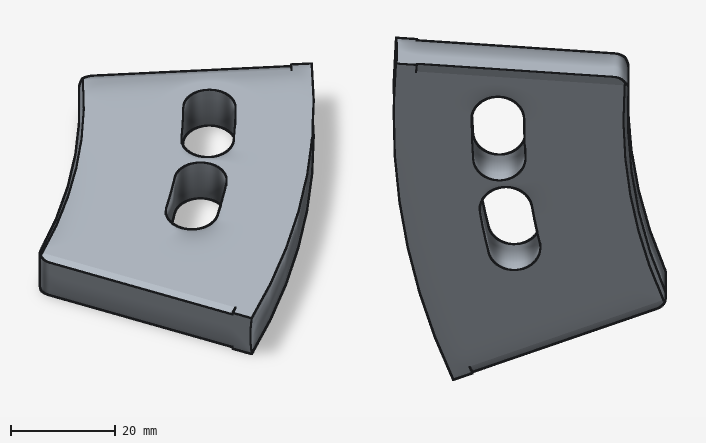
import cadquery as cq
import math

outer_radius = 157.8
radial_width = 45.0
inner_radius = outer_radius - radial_width
end_to_end_height = 70.3
sector_angle = math.degrees(math.asin(end_to_end_height / outer_radius))
thickness = 9.5
corner_radius = 3.0

rim_hollow_depth = 0.3

slot_path_radius = 137.75
slot_width = 10.05
slot_span = 3.65
slot_middle_angles = (11.55, 20.05)

end_bevel_width = 1.55
end_bevel_height = 0.4
end_bevel_stop = 4.0
inner_bevel_width = 0.85
inner_bevel_height = 0.85

overrun = 7.0


def polar(radius, angle):
    """Point in the XY plane at an angle in degrees from +X."""
    turn = math.radians(angle)
    return radius * math.cos(turn), radius * math.sin(turn)


def curved_band(inner, outer, start, end):
    """Closed outline between two concentric arcs and two radial lines."""
    middle = (start + end) / 2
    return (
        cq.Workplane("XY")
        .moveTo(*polar(inner, start))
        .lineTo(*polar(outer, start))
        .threePointArc(polar(outer, middle), polar(outer, end))
        .lineTo(*polar(inner, end))
        .threePointArc(polar(inner, middle), polar(inner, start))
        .close()
    )


def make_plate():
    plate = curved_band(inner_radius, outer_radius, 0, sector_angle).extrude(thickness)
    for angle in (0, sector_angle):
        corner_middle = (*polar(inner_radius, angle), thickness / 2)
        corner_edge = cq.selectors.NearestToPointSelector(corner_middle)
        plate = plate.edges(corner_edge).fillet(corner_radius)
    return plate


def make_slot(middle_angle):
    start = middle_angle - slot_span / 2
    end = middle_angle + slot_span / 2
    half_width = slot_width / 2
    band = curved_band(slot_path_radius - half_width, slot_path_radius + half_width, start, end)
    slot = band.extrude(thickness)
    ends = [polar(slot_path_radius, start), polar(slot_path_radius, end)]
    return slot.union(cq.Workplane("XY").pushPoints(ends).circle(half_width).extrude(thickness))


def make_rim_hollow():
    """Revolved lens that leaves the outer rim concave across its thickness."""
    return (
        cq.Workplane("XZ")
        .moveTo(outer_radius, 0)
        .threePointArc((outer_radius - rim_hollow_depth, thickness / 2), (outer_radius, thickness))
        .lineTo(outer_radius + overrun, thickness)
        .lineTo(outer_radius + overrun, 0)
        .close()
        .revolve(360, (0, 0, 0), (0, 1, 0))
    )


def make_inner_bevel():
    """Cone around the Z axis that bevels the top inner edge."""
    return (
        cq.Workplane("XZ")
        .moveTo(0, thickness - inner_bevel_height)
        .lineTo(inner_radius, thickness - inner_bevel_height)
        .lineTo(inner_radius + inner_bevel_width, thickness)
        .lineTo(0, thickness)
        .close()
        .revolve(360, (0, 0, 0), (0, 1, 0))
    )


def make_end_bevel():
    """Wedge that bevels the top edge of the end face lying along +X."""
    start = inner_radius - overrun
    length = outer_radius - end_bevel_stop - start
    return (
        cq.Workplane("YZ", origin=(start, 0, 0))
        .moveTo(0, thickness)
        .lineTo(end_bevel_width, thickness)
        .lineTo(0, thickness - end_bevel_height)
        .close()
        .extrude(length)
    )


def mirror_to_bottom(tool):
    return tool.mirror("XY", (0, 0, thickness / 2))


def mirror_to_far_end(tool):
    """Mirror about the middle radius by flipping Y, then turning by the sector angle."""
    return tool.mirror("XZ").rotate((0, 0, 0), (0, 0, 1), sector_angle)


result = make_plate().cut(make_rim_hollow())

for slot_angle in slot_middle_angles:
    result = result.cut(make_slot(slot_angle))

near_bevel = make_end_bevel()
for bevel in (make_inner_bevel(), near_bevel, mirror_to_far_end(near_bevel)):
    result = result.cut(bevel).cut(mirror_to_bottom(bevel))